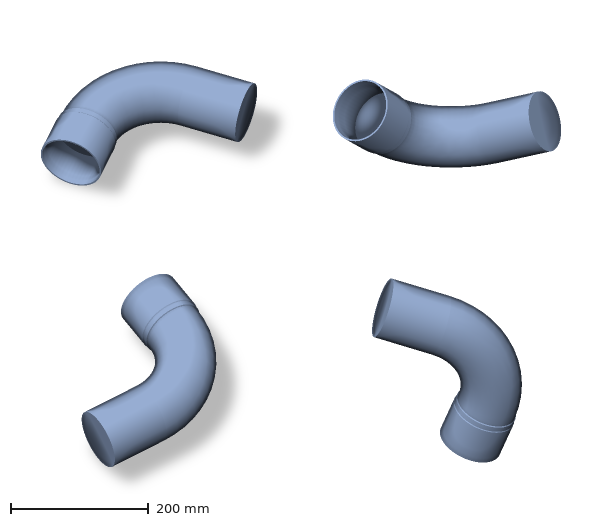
import cadquery as cq

overall_x = 250.0
overall_y = 225.5

pipe_diameter = 89.0
collar_diameter = 92.0
socket_diameter = 94.0

straight_length = 89.2
socket_length = 58.5
socket_taper = 1.2
collar_taper = 1.0
bore_depth = 57.2

bend_radius = overall_x - straight_length - socket_diameter / 2
bend_start_y = overall_y - pipe_diameter / 2 - bend_radius
bend_end_y = bend_start_y + bend_radius


def make_bend():
    """Solid quarter bend that turns from +Y to +X."""
    plane = cq.Plane(origin=(0, bend_start_y, 0), xDir=(1, 0, 0), normal=(0, 1, 0))
    axis_start = (bend_radius, 0, 0)
    axis_end = (bend_radius, 1, 0)
    return cq.Workplane(plane).circle(pipe_diameter / 2).revolve(90, axis_start, axis_end)


def make_straight_end():
    """Plain solid spigot that leaves the bend toward +X."""
    return (
        cq.Workplane("YZ", origin=(bend_radius, bend_end_y, 0))
        .circle(pipe_diameter / 2)
        .extrude(straight_length)
    )


def make_socket_and_collar():
    """Socket, collar and their conical steps down to the pipe, turned about Y."""
    pipe_radius = pipe_diameter / 2
    collar_radius = collar_diameter / 2
    socket_radius = socket_diameter / 2
    half_section = [
        (0, 0),
        (socket_radius, 0),
        (socket_radius, socket_length - socket_taper),
        (collar_radius, socket_length),
        (collar_radius, bend_start_y - collar_taper),
        (pipe_radius, bend_start_y),
        (0, bend_start_y),
    ]
    return cq.Workplane("XY").polyline(half_section).close().revolve(360, (0, 0, 0), (0, 1, 0))


def make_socket_bore():
    """Blind bore from the socket mouth, as wide as the pipe."""
    return cq.Workplane("XZ").circle(pipe_diameter / 2).extrude(-bore_depth)


body = make_socket_and_collar().union(make_bend()).union(make_straight_end())
result = body.cut(make_socket_bore())